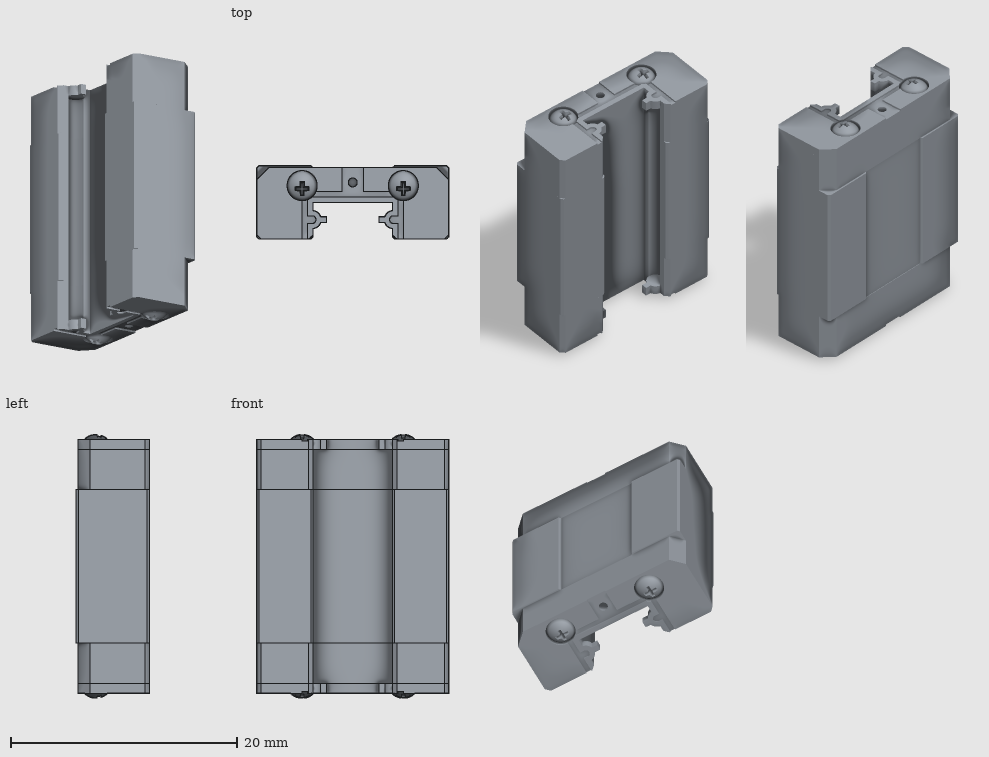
import cadquery as cq
import math


total_length = 23.33
head_rise = 0.42
seal_thickness = 0.89
block_length = 13.6
seal_face = total_length / 2 - head_rise
seal_back = seal_face - seal_thickness
block_end = block_length / 2

width = 17.0
block_height = 6.5
end_height = 6.35
half_width = width / 2
block_chamfer = 0.2
end_chamfer = 0.4
end_top_chamfer = 1.1

channel_half_width = 3.5
channel_height = 3.22
race_diameter = 1.6
race_x = 3.6
race_y = 1.73

lip_width = 0.5
tongue_tip_x = 2.3
tongue_width = 0.54

recess_depth = 0.16
recess_width = 0.5
race_slot_width = 0.68
tab_width = 1.87
tab_hole_diameter = 0.8
tab_hole_y = 5.02

head_diameter = 2.65
dome_height = 0.95
screw_x = channel_half_width + lip_width + recess_width
screw_y = 4.74
cross_offset = 0.28
cross_length = 1.28
cross_slot_width = 0.4
cross_depth = 0.7
cross_taper = 9.0
head_radius = head_diameter / 2
sphere_radius = (head_radius**2 + dome_height**2) / (2 * dome_height)
crest_drop = sphere_radius - math.sqrt(sphere_radius**2 - (cross_slot_width / 2) ** 2)
head_seat = total_length / 2 + crest_drop - dome_height


def mirrored_prism(half_outline, z_start, z_end):
    """Extrude the outline closed by mirroring its +X half about X = 0."""
    other_half = [(-x, y) for x, y in reversed(half_outline) if x > 0]
    outline = cq.Workplane("XY").workplane(offset=z_start).polyline(half_outline + other_half).close()
    return outline.extrude(z_end - z_start)


def cylinder(x, y, diameter, z_start, z_end):
    return cq.Workplane("XY", origin=(x, y, z_start)).circle(diameter / 2).extrude(z_end - z_start)


def box(x_start, x_end, y_start, y_end, z_start, z_end):
    size = (x_end - x_start, y_end - y_start, z_end - z_start)
    return cq.Workplane("XY", origin=(x_start, y_start, z_start)).box(*size, centered=False)


def leg_outline(chamfer):
    """Points of the +X leg from the channel roof down to its foot and out to the side."""
    return [
        (channel_half_width, channel_height),
        (channel_half_width, chamfer),
        (channel_half_width + chamfer, 0),
        (half_width - chamfer, 0),
        (half_width, chamfer),
    ]


def cut_races(body, z_start, z_end):
    for side in (-1, 1):
        body = body.cut(cylinder(side * race_x, race_y, race_diameter, z_start, z_end))
    return body


def end_section(z_start, z_end):
    """Section shared by the caps and the seals, with plain channel walls."""
    top = [
        (half_width, end_height - end_top_chamfer),
        (half_width - end_top_chamfer, end_height),
    ]
    return mirrored_prism(leg_outline(end_chamfer) + top, z_start, z_end)


def make_block():
    pad_top = [
        (half_width, block_height - block_chamfer),
        (half_width - block_chamfer, block_height),
        (channel_half_width + block_chamfer, block_height),
        (channel_half_width, block_height - block_chamfer),
    ]
    body = mirrored_prism(leg_outline(block_chamfer) + pad_top, -block_end, block_end)
    return cut_races(body, -block_end, block_end)


def make_end_cap():
    return cut_races(end_section(block_end, seal_back), block_end, seal_back)


def add_sealing_lips(body):
    """Bumps that follow the rail races, each with a tongue pointing into the channel."""
    for side in (-1, 1):
        bump = cylinder(side * race_x, race_y, race_diameter, seal_back, seal_face)
        tongue_x = sorted((side * tongue_tip_x, side * race_x))
        tongue_y = (race_y - tongue_width / 2, race_y + tongue_width / 2)
        body = body.union(bump).union(box(*tongue_x, *tongue_y, seal_back, seal_face))
    return body


def face_recess():
    """U-shaped groove around the lip, with a slot into each bump and a tab up to the top edge."""
    floor = seal_face - recess_depth
    inner_x = channel_half_width + lip_width
    inner_y = channel_height + lip_width
    outer_x = inner_x + recess_width
    outer_y = inner_y + recess_width
    recess = box(-outer_x, outer_x, 0, outer_y, floor, seal_face)
    recess = recess.cut(box(-inner_x, inner_x, 0, inner_y, floor, seal_face))
    recess = recess.union(box(-tab_width / 2, tab_width / 2, inner_y, end_height, floor, seal_face))
    for side in (-1, 1):
        slot_x = sorted((side * race_x, side * inner_x))
        slot_y = (race_y - race_slot_width / 2, race_y + race_slot_width / 2)
        recess = recess.union(box(*slot_x, *slot_y, floor, seal_face))
        recess = recess.union(cylinder(side * race_x, race_y, race_slot_width, floor, seal_face))
    return recess


def make_end_seal():
    body = add_sealing_lips(end_section(seal_back, seal_face))
    body = body.cut(face_recess())
    body = body.cut(cylinder(0, tab_hole_y, tab_hole_diameter, seal_back, seal_face))
    for side in (-1, 1):
        body = body.cut(cylinder(side * screw_x, screw_y, head_diameter, head_seat, seal_face))
    return body


def make_screw(side):
    """Domed head, a spherical cap standing on its seat, with a cross recess."""
    half_angle = math.asin(head_radius / sphere_radius) / 2
    arc_middle = (
        sphere_radius * math.sin(half_angle),
        dome_height - sphere_radius * (1 - math.cos(half_angle)),
    )
    profile = cq.Workplane("XZ").lineTo(head_radius, 0).threePointArc(arc_middle, (0, dome_height)).close()
    head = profile.revolve(360, (0, 0), (0, 1))
    for length_x, length_y in ((cross_length, cross_slot_width), (cross_slot_width, cross_length)):
        slot = cq.Workplane("XY", origin=(0, -cross_offset, dome_height)).rect(length_x, length_y)
        head = head.cut(slot.extrude(-cross_depth, taper=cross_taper))
    return head.translate((side * screw_x, screw_y, head_seat))


upper_end = [make_end_cap(), make_end_seal(), make_screw(-1), make_screw(1)]
lower_end = [body.mirror("XY") for body in upper_end]

block = make_block()
result = cq.Compound.makeCompound([body.val() for body in [block] + upper_end + lower_end])